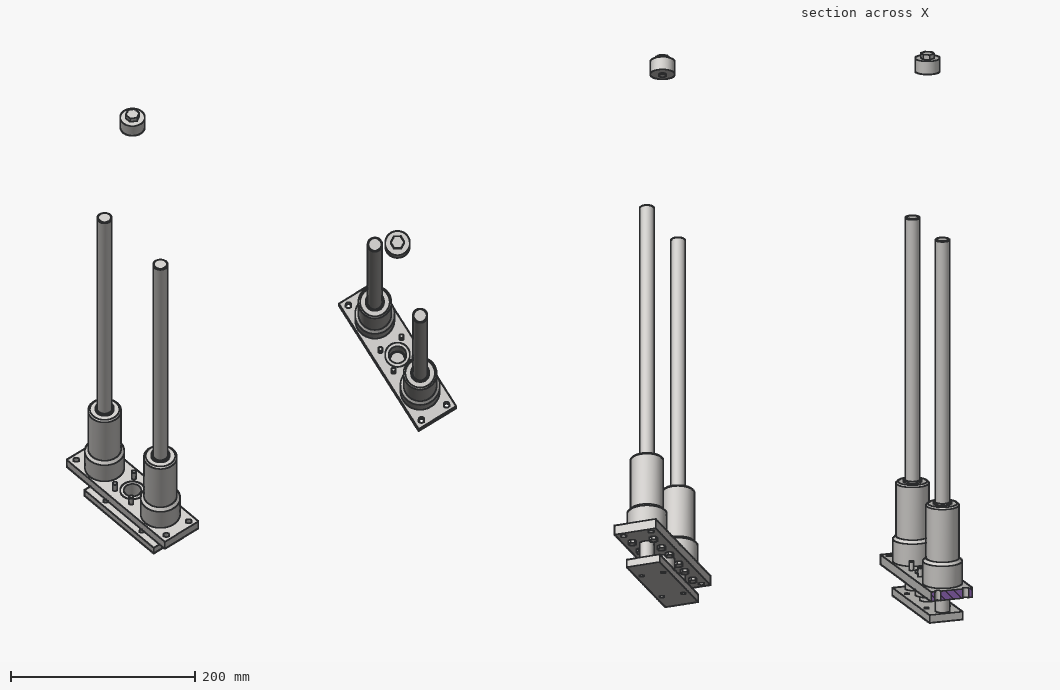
import cadquery as cq

TOTAL_HEIGHT = 625.8
ROD_SPACING = 93.0
ROD_CENTRES = [(-ROD_SPACING / 2, 0), (ROD_SPACING / 2, 0)]

SLIDE_LENGTH = 115.5
SLIDE_WIDTH = 38.5
SLIDE_THICKNESS = 9.0
SLIDE_HOLE_DIAMETER = 5.2
SLIDE_HOLE_SPACING_X = 60.0
SLIDE_HOLE_SPACING_Y = 25.0
SPIGOT_DIAMETER = 17.0
ROD_DIAMETER = 16.0
ROD_TOP = 428.5
ROD_CHAMFER = 1.0

PLATE_LENGTH = 164.0
PLATE_WIDTH = 48.0
PLATE_THICKNESS = 11.0
PLATE_BOTTOM = 29.3
PLATE_TOP = PLATE_BOTTOM + PLATE_THICKNESS
PLATE_HOLE_DIAMETER = 6.5
PLATE_HOLE_SPACING_X = 150.0
PLATE_HOLE_SPACING_Y = 32.0

HOUSING_BASE_RADIUS = 43.0 / 2
HOUSING_BASE_HEIGHT = 25.0
HOUSING_RADIUS = 36.0 / 2
HOUSING_HEIGHT = 90.0
HOUSING_CHAMFER = 2.0
SHOULDER = HOUSING_BASE_RADIUS - HOUSING_RADIUS

COLLAR_RADIUS = 20.0 / 2
COLLAR_HEIGHT = 2.0
COLLAR_BORE = 17.0
COLLAR_BORE_DEPTH = 3.0
COLLAR_TOP = PLATE_TOP + HOUSING_HEIGHT + COLLAR_HEIGHT

SOCKET_DIAMETER = 27.0
SOCKET_BORE = 19.0
SOCKET_BOTTOM = 15.0
SOCKET_RISE = 0.5
SOCKET_TOP = PLATE_TOP + SOCKET_RISE

BOLT_DIAMETER = 5.0
BOLT_TIP_DIAMETER = 4.13
BOLT_TIP_CHAMFER = (BOLT_DIAMETER - BOLT_TIP_DIAMETER) / 2
BOLT_PROTRUSION = 10.0
BOLT_HEAD_FLATS = 8.0
BOLT_HEAD_HEIGHT = 3.5
HOUSING_BOLT_SPACING = 24.5
SOCKET_BOLT_SPACING = 27.0

PAD_DIAMETER = 27.0
PAD_THICKNESS = 15.0
PAD_BOLT_DIAMETER = 8.0
PAD_BOLT_PROTRUSION = 1.5
PAD_HEAD_FLATS = 13.0
PAD_HEAD_HEIGHT = 5.3
PAD_TOP = TOTAL_HEIGHT - PAD_HEAD_HEIGHT
PAD_BOTTOM = PAD_TOP - PAD_THICKNESS

AXIS = [(0, 0)]


def cylinder(diameter, bottom, top, centres=AXIS):
    """Upright cylinders between two heights, one at each centre."""
    discs = cq.Workplane("XY", origin=(0, 0, bottom)).pushPoints(centres).circle(diameter / 2)
    return discs.extrude(top - bottom)


def hexagon(across_flats, bottom, top, centres=AXIS):
    """Upright hexagonal prisms with two corners on the Y direction, one at each centre."""
    outline = cq.Sketch().regularPolygon(across_flats / 3**0.5, 6, angle=90)
    outlines = cq.Workplane("XY", origin=(0, 0, bottom)).pushPoints(centres).placeSketch(outline)
    return outlines.extrude(top - bottom)


def plate(length, width, bottom, top):
    """Flat rectangular plate centred on the Z axis."""
    return cq.Workplane("XY", origin=(0, 0, bottom)).rect(length, width).extrude(top - bottom)


def corners(spacing_x, spacing_y, centre=(0, 0)):
    """The four corner points of a rectangle around a centre."""
    return [
        (centre[0] + side_x * spacing_x / 2, centre[1] + side_y * spacing_y / 2)
        for side_x in (-1, 1)
        for side_y in (-1, 1)
    ]


def make_slide():
    """Lower plate with four holes, carrying the two guide rods and the spigot."""
    rods = cylinder(ROD_DIAMETER, 0, ROD_TOP, ROD_CENTRES).faces(">Z").chamfer(ROD_CHAMFER)
    spigot = cylinder(SPIGOT_DIAMETER, 0, SOCKET_BOTTOM)
    holes = corners(SLIDE_HOLE_SPACING_X, SLIDE_HOLE_SPACING_Y)
    return (
        plate(SLIDE_LENGTH, SLIDE_WIDTH, 0, SLIDE_THICKNESS)
        .cut(cylinder(SLIDE_HOLE_DIAMETER, 0, SLIDE_THICKNESS, holes))
        .union(spigot)
        .union(rods)
    )


def make_housing(centre):
    """Stepped bearing housing with a coned shoulder, a chamfered rim and a raised collar."""
    base_top = PLATE_TOP + HOUSING_BASE_HEIGHT
    rim = PLATE_TOP + HOUSING_HEIGHT
    profile = [
        (0, PLATE_TOP),
        (HOUSING_BASE_RADIUS, PLATE_TOP),
        (HOUSING_BASE_RADIUS, base_top),
        (HOUSING_RADIUS, base_top + SHOULDER),
        (HOUSING_RADIUS, rim - HOUSING_CHAMFER),
        (HOUSING_RADIUS - HOUSING_CHAMFER, rim),
        (COLLAR_RADIUS, rim),
        (COLLAR_RADIUS, COLLAR_TOP),
        (0, COLLAR_TOP),
    ]
    housing = cq.Workplane("XZ").polyline(profile).close().revolve(360, (0, 0, 0), (0, 1, 0))
    return housing.translate((*centre, 0))


def make_bolts():
    """Bolt heads below the plate and the threaded ends that stand up around the socket."""
    socket_bolts = corners(SOCKET_BOLT_SPACING, SOCKET_BOLT_SPACING)
    heads = list(socket_bolts)
    for centre in ROD_CENTRES:
        heads += corners(HOUSING_BOLT_SPACING, HOUSING_BOLT_SPACING, centre)
    shanks = cylinder(BOLT_DIAMETER, PLATE_BOTTOM, PLATE_TOP + BOLT_PROTRUSION, socket_bolts)
    shanks = shanks.faces(">Z").chamfer(BOLT_TIP_CHAMFER)
    return hexagon(BOLT_HEAD_FLATS, PLATE_BOTTOM - BOLT_HEAD_HEIGHT, PLATE_BOTTOM, heads).union(shanks)


def make_guide():
    """Upper plate with its housings, socket and bolts, bored for the two rods."""
    holes = corners(PLATE_HOLE_SPACING_X, PLATE_HOLE_SPACING_Y)
    guide = plate(PLATE_LENGTH, PLATE_WIDTH, PLATE_BOTTOM, PLATE_TOP)
    guide = guide.cut(cylinder(PLATE_HOLE_DIAMETER, PLATE_BOTTOM, PLATE_TOP, holes))
    for centre in ROD_CENTRES:
        guide = guide.union(make_housing(centre))

    guide = guide.union(cylinder(SOCKET_DIAMETER, SOCKET_BOTTOM, SOCKET_TOP))
    guide = guide.cut(cylinder(SOCKET_BORE, SOCKET_BOTTOM, SOCKET_TOP))
    guide = guide.union(make_bolts())

    guide = guide.cut(cylinder(ROD_DIAMETER, PLATE_BOTTOM, COLLAR_TOP, ROD_CENTRES))
    return guide.cut(cylinder(COLLAR_BORE, COLLAR_TOP - COLLAR_BORE_DEPTH, COLLAR_TOP, ROD_CENTRES))


def make_bumper():
    """Round pad with a hexagonal bolt head on top and the bolt end below."""
    return (
        cylinder(PAD_DIAMETER, PAD_BOTTOM, PAD_TOP)
        .union(cylinder(PAD_BOLT_DIAMETER, PAD_BOTTOM - PAD_BOLT_PROTRUSION, PAD_TOP))
        .union(hexagon(PAD_HEAD_FLATS, PAD_TOP, TOTAL_HEIGHT))
    )


slide = make_slide()
guide = make_guide()
bumper = make_bumper()
result = cq.Compound.makeCompound([body.solids().val() for body in (slide, guide, bumper)])